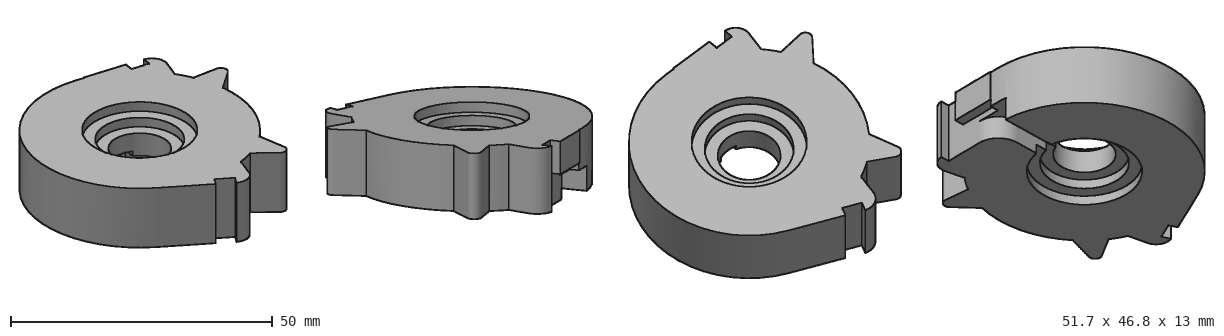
import cadquery as cq
import math

THICKNESS = 13.0
BODY_RADIUS = 23.0
HALF_WIDTH = 25.85
TOP_REACH = 23.85

BORE_DIAMETER = 12.0
COUNTERBORE_DIAMETERS = (17.0, 22.0)
STEP_DEPTH = 2.0

EAR_TIP_RADIUS = 1.35
EAR_TIP_X = 16.35
EAR_INNER_ANGLE = 26.3
EAR_OUTER_ANGLE = 43.4

ARM_TOP = 13.85
ARM_FILLET = 3.0
FLANK_TILT = 12.3
SLOT_FLOOR = 21.1
HOOK_POSITION = 15.5
PAD_START = 11.55

PAD_STEP = 0.15
PAD_BOTTOM = THICKNESS / 2
CHANNEL_WIDTH = 4.0
CHANNEL_HEIGHT = 5.0
CHANNEL_MOUTH_RADIUS = 5.0
CUT_REACH = HALF_WIDTH + 5.15

TILT = math.radians(FLANK_TILT)


def flank_point(distance, along):
    """Point on the -X half, by distance outward and position along the flank."""
    x = -distance * math.cos(TILT) - along * math.sin(TILT)
    y = -distance * math.sin(TILT) + along * math.cos(TILT)
    return (x, y)


def flank_block(near, far, start, end, bottom, top):
    """Block aligned with the -X flank."""
    corners = [
        flank_point(near, start),
        flank_point(far, start),
        flank_point(far, end),
        flank_point(near, end),
    ]
    return cq.Workplane("XY").workplane(offset=bottom).polyline(corners).close().extrude(top - bottom)


def tangent_point(start, center, radius, side):
    """Where a line from start touches a circle; side (+1 or -1) picks the tangent."""
    dx = start[0] - center[0]
    dy = start[1] - center[1]
    angle = math.atan2(dy, dx) + side * math.acos(radius / math.hypot(dx, dy))
    return (center[0] + radius * math.cos(angle), center[1] + radius * math.sin(angle))


def body_circle_point(angle_from_y):
    angle = math.radians(angle_from_y)
    return (-BODY_RADIUS * math.sin(angle), BODY_RADIUS * math.cos(angle))


def make_ear():
    tip = (-EAR_TIP_X, TOP_REACH - EAR_TIP_RADIUS)
    inner_base = body_circle_point(EAR_INNER_ANGLE)
    outer_base = body_circle_point(EAR_OUTER_ANGLE)
    inner_tangent = tangent_point(inner_base, tip, EAR_TIP_RADIUS, 1)
    outer_tangent = tangent_point(outer_base, tip, EAR_TIP_RADIUS, -1)
    reach = math.hypot(*tip)
    tip_end = tuple(value * (1 + EAR_TIP_RADIUS / reach) for value in tip)
    return (
        cq.Workplane("XY")
        .lineTo(*inner_base)
        .lineTo(*inner_tangent)
        .threePointArc(tip_end, outer_tangent)
        .lineTo(*outer_base)
        .close()
        .extrude(THICKNESS)
    )


def make_arm_and_flank():
    hook_distance = (HALF_WIDTH - HOOK_POSITION * math.sin(TILT)) / math.cos(TILT)
    diagonal = ARM_FILLET * math.sqrt(0.5)
    fillet_middle = (
        -HALF_WIDTH + ARM_FILLET - diagonal,
        ARM_TOP - ARM_FILLET + diagonal,
    )
    return (
        cq.Workplane("XY")
        .lineTo(0, ARM_TOP)
        .lineTo(-HALF_WIDTH + ARM_FILLET, ARM_TOP)
        .threePointArc(fillet_middle, (-HALF_WIDTH, ARM_TOP - ARM_FILLET))
        .lineTo(*flank_point(hook_distance, HOOK_POSITION))
        .lineTo(*flank_point(SLOT_FLOOR, HOOK_POSITION))
        .lineTo(*flank_point(SLOT_FLOOR, PAD_START))
        .lineTo(*flank_point(BODY_RADIUS, PAD_START))
        .lineTo(*flank_point(BODY_RADIUS, 0))
        .close()
        .extrude(THICKNESS)
    )


def make_channel():
    """Channel from the bore to the -X flank, with one rounded side at its mouth."""
    half = CHANNEL_WIDTH / 2
    radius = CHANNEL_MOUTH_RADIUS
    diagonal = radius * math.sqrt(0.5)
    arc_distance = SLOT_FLOOR - radius
    arc_along = half + radius
    return (
        cq.Workplane("XY")
        .moveTo(*flank_point(0, -half))
        .lineTo(*flank_point(CUT_REACH, -half))
        .lineTo(*flank_point(CUT_REACH, half))
        .lineTo(*flank_point(SLOT_FLOOR, half))
        .lineTo(*flank_point(SLOT_FLOOR, arc_along))
        .threePointArc(
            flank_point(arc_distance + diagonal, arc_along - diagonal),
            flank_point(arc_distance, half),
        )
        .lineTo(*flank_point(0, half))
        .close()
        .extrude(CHANNEL_HEIGHT)
    )


def make_bore():
    bore = cq.Workplane("XY").circle(BORE_DIAMETER / 2).extrude(THICKNESS)
    for step, diameter in enumerate(reversed(COUNTERBORE_DIAMETERS), start=1):
        depth = STEP_DEPTH * step
        lower = cq.Workplane("XY").circle(diameter / 2).extrude(depth)
        bore = bore.union(lower).union(lower.translate((0, 0, THICKNESS - depth)))
    return bore


body = cq.Workplane("XY").circle(BODY_RADIUS).extrude(THICKNESS)
for feature in (make_ear(), make_arm_and_flank()):
    body = body.union(feature).union(feature.mirror("YZ"))

pad_end = CHANNEL_WIDTH / 2
body = body.cut(flank_block(SLOT_FLOOR, CUT_REACH, pad_end, PAD_START, 0, PAD_BOTTOM))
pad_face = BODY_RADIUS + PAD_STEP
body = body.union(flank_block(SLOT_FLOOR, pad_face, pad_end, PAD_START, PAD_BOTTOM, THICKNESS))

result = body.cut(make_channel()).cut(make_bore())